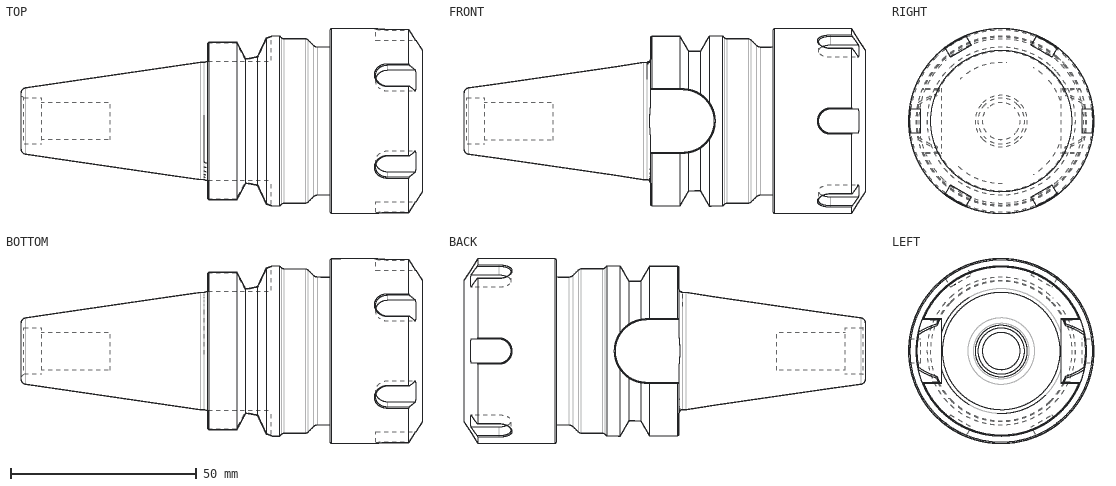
import cadquery as cq
import math

GAUGE_PLANE_X = 0.0
SHANK_LENGTH = 48.4
FLANGE_FACE_X = 2.0
GROOVE_CENTER_X = 13.85
FLANGE_END_X = 22.2
COLLAR_END_X = 31.0
NUT_BACK_X = 35.0
NUT_SHOULDER_X = 56.25
NUT_FRONT_X = 60.0

GAUGE_RADIUS = 31.75 / 2
TAPER_PER_DIAMETER = 7 / 24
SHANK_END_RADIUS = GAUGE_RADIUS - SHANK_LENGTH * TAPER_PER_DIAMETER / 2
SHANK_END_FILLET = 1.5
SHANK_ROOT_FILLET = 1.0

FLANGE_RADIUS = 46 / 2
FLANGE_EDGE_CHAMFER = 0.3
GROOVE_FLOOR_RADIUS = 18.9
GROOVE_FLOOR_WIDTH = 3.2
GROOVE_FLANK_ANGLE = 30.0

COLLAR_RADIUS = 44.45 / 2
COLLAR_CONE_ANGLE = 45.0
COLLAR_ROOT_FILLET = 1.0
COLLAR_EDGE_FILLET = 1.0
NECK_RADIUS = 40 / 2
NECK_FILLET = 1.5

NUT_RADIUS = 50.04 / 2
NUT_FRONT_RADIUS = 19.1
NUT_BACK_CHAMFER = 0.4

SPANNER_SLOT_COUNT = 6
SPANNER_SLOT_WIDTH = 6.5
SPANNER_SLOT_START_X = 47.3
SPANNER_SLOT_FLOOR = 21.8

KEY_SLOT_COUNT = 2
KEY_SLOT_WIDTH = 16.9
KEY_SLOT_FLOOR = 16.1
KEY_SLOT_END_X = 19.15

SLOT_EDGE_CHAMFER = 0.3

BORE_RADIUS = 12.5 / 2
BORE_DEPTH = 5.5
BORE_MOUTH_RADIUS = 7.0
THREAD_RADIUS = 10.11 / 2
THREAD_DEPTH = 24.0

TOLERANCE = 0.01


def make_body():
    """Revolved outer shape of the shank, flange, collar, neck and nut."""
    groove_rise = FLANGE_RADIUS - GROOVE_FLOOR_RADIUS
    groove_half_floor = GROOVE_FLOOR_WIDTH / 2
    groove_half_mouth = groove_half_floor + groove_rise * math.tan(math.radians(GROOVE_FLANK_ANGLE))
    cone_length = (COLLAR_RADIUS - NECK_RADIUS) / math.tan(math.radians(COLLAR_CONE_ANGLE))
    outline = [
        (-SHANK_LENGTH, 0),
        (-SHANK_LENGTH, SHANK_END_RADIUS),
        (GAUGE_PLANE_X, GAUGE_RADIUS),
        (FLANGE_FACE_X, GAUGE_RADIUS),
        (FLANGE_FACE_X, FLANGE_RADIUS - FLANGE_EDGE_CHAMFER),
        (FLANGE_FACE_X + FLANGE_EDGE_CHAMFER, FLANGE_RADIUS),
        (GROOVE_CENTER_X - groove_half_mouth, FLANGE_RADIUS),
        (GROOVE_CENTER_X - groove_half_floor, GROOVE_FLOOR_RADIUS),
        (GROOVE_CENTER_X + groove_half_floor, GROOVE_FLOOR_RADIUS),
        (GROOVE_CENTER_X + groove_half_mouth, FLANGE_RADIUS),
        (FLANGE_END_X - (FLANGE_RADIUS - COLLAR_RADIUS), FLANGE_RADIUS),
        (FLANGE_END_X, COLLAR_RADIUS),
        (COLLAR_END_X - cone_length, COLLAR_RADIUS),
        (COLLAR_END_X, NECK_RADIUS),
        (NUT_BACK_X, NECK_RADIUS),
        (NUT_BACK_X, NUT_RADIUS - NUT_BACK_CHAMFER),
        (NUT_BACK_X + NUT_BACK_CHAMFER, NUT_RADIUS),
        (NUT_SHOULDER_X, NUT_RADIUS),
        (NUT_FRONT_X, NUT_FRONT_RADIUS),
        (NUT_FRONT_X, 0),
    ]
    body = cq.Workplane("XY").polyline(outline).close().revolve(360, (0, 0, 0), (1, 0, 0))
    body = fillet_ring(body, -SHANK_LENGTH, SHANK_END_RADIUS, SHANK_END_FILLET)
    body = fillet_ring(body, FLANGE_FACE_X, GAUGE_RADIUS, SHANK_ROOT_FILLET)
    body = fillet_ring(body, FLANGE_END_X, COLLAR_RADIUS, COLLAR_ROOT_FILLET)
    body = fillet_ring(body, COLLAR_END_X - cone_length, COLLAR_RADIUS, COLLAR_EDGE_FILLET)
    return fillet_ring(body, COLLAR_END_X, NECK_RADIUS, NECK_FILLET)


def fillet_ring(body, x, radius, fillet):
    """Round the circular edge of the given radius lying at station x."""
    ring_box = cq.selectors.BoxSelector(
        (x - TOLERANCE, -radius - TOLERANCE, -radius - TOLERANCE),
        (x + TOLERANCE, radius + TOLERANCE, radius + TOLERANCE),
        boundingbox=True,
    )
    return body.edges(ring_box).edges(cq.selectors.RadiusNthSelector(-1)).fillet(fillet)


def cut_round_ended_slots(body, count, open_x, tip_x, width, floor, chamfer_limit_x):
    """Cut equally spaced slots, each running from its open end to a semicircular tip.

    Each slot is made on the -Y side with a flat floor at Y = -floor, then the body is turned
    about X for the next one. Mouth edges up to the limiting station are chamfered.
    """
    half_width = width / 2
    arc_x = tip_x + math.copysign(half_width, open_x - tip_x)
    cutter = (
        cq.Workplane("XZ", origin=(0, -floor, 0))
        .moveTo(open_x, -half_width)
        .lineTo(arc_x, -half_width)
        .threePointArc((tip_x, 0), (arc_x, half_width))
        .lineTo(open_x, half_width)
        .close()
        .extrude(NUT_RADIUS)
    )

    def is_mouth_edge(edge):
        middle = edge.positionAt(0.5)
        past_arc = (middle.x - arc_x) * (tip_x - arc_x) > 0
        wall_distance = math.hypot(middle.x - arc_x, middle.z) if past_arc else abs(middle.z)
        on_wall = abs(wall_distance - half_width) < TOLERANCE
        above_floor = middle.y < -floor - TOLERANCE
        wall_seam = abs(middle.x - arc_x) < TOLERANCE
        between_ends = min(tip_x, open_x) - TOLERANCE < middle.x < chamfer_limit_x
        return on_wall and above_floor and between_ends and not wall_seam

    for _ in range(count):
        body = body.cut(cutter)
        body = body.edges().filter(is_mouth_edge).chamfer(SLOT_EDGE_CHAMFER)
        body = body.rotate((0, 0, 0), (1, 0, 0), 360 / count)
    return body


def make_pull_stud_hole():
    """Stepped blind hole with a conical mouth, opening at the shank end."""
    mouth_depth = BORE_MOUTH_RADIUS - BORE_RADIUS
    outline = [
        (0, 0),
        (0, BORE_MOUTH_RADIUS),
        (mouth_depth, BORE_RADIUS),
        (BORE_DEPTH, BORE_RADIUS),
        (BORE_DEPTH, THREAD_RADIUS),
        (THREAD_DEPTH, THREAD_RADIUS),
        (THREAD_DEPTH, 0),
    ]
    hole = cq.Workplane("XY").polyline(outline).close().revolve(360, (0, 0, 0), (1, 0, 0))
    return hole.translate((-SHANK_LENGTH, 0, 0))


result = make_body().cut(make_pull_stud_hole())
result = cut_round_ended_slots(
    result,
    count=KEY_SLOT_COUNT,
    open_x=GAUGE_PLANE_X,
    tip_x=KEY_SLOT_END_X,
    width=KEY_SLOT_WIDTH,
    floor=KEY_SLOT_FLOOR,
    chamfer_limit_x=FLANGE_END_X,
)
result = cut_round_ended_slots(
    result,
    count=SPANNER_SLOT_COUNT,
    open_x=NUT_FRONT_X,
    tip_x=SPANNER_SLOT_START_X,
    width=SPANNER_SLOT_WIDTH,
    floor=SPANNER_SLOT_FLOOR,
    chamfer_limit_x=NUT_SHOULDER_X,
)